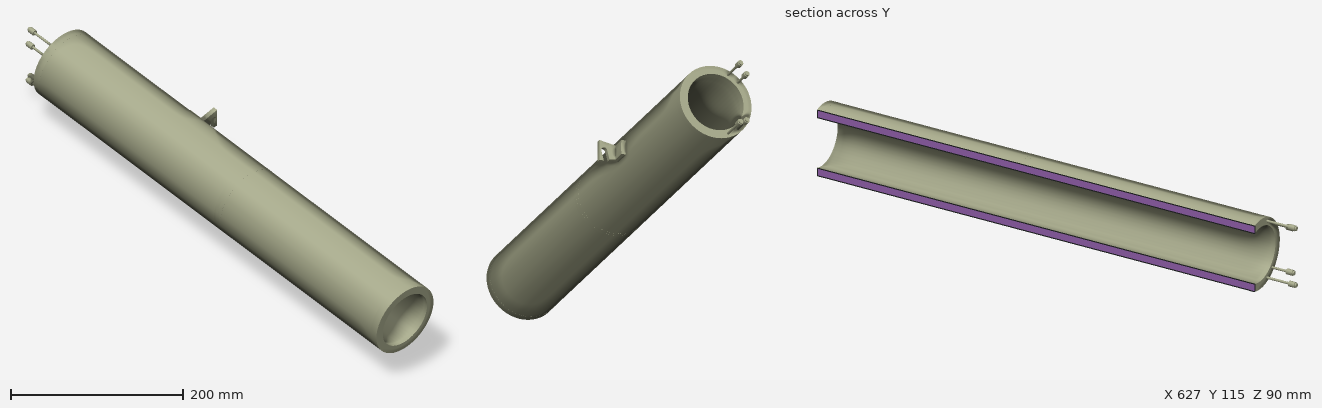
import cadquery as cq
import math

BORE_DIAMETER = 70.0
END_CAP_DIAMETER = 90.0
TUBE_DIAMETER = 89.8
COUPLING_DIAMETER = 89.9

MID_WALL_RADIUS = (BORE_DIAMETER + END_CAP_DIAMETER) / 4

TUBE_LENGTH = 587.0
END_CAP_LENGTH = 10.0
COUPLING_RING_LENGTH = 5.5
LONG_TUBE_LENGTH = 299.0
SHORT_TUBE_LENGTH = TUBE_LENGTH - LONG_TUBE_LENGTH - 2 * (END_CAP_LENGTH + COUPLING_RING_LENGTH)

ROD_DIAMETER = 3.0
HEAD_DIAMETER = 7.0
HEAD_TIP_DIAMETER = 5.0
HEAD_LENGTH = 10.0
HEAD_TIP_LENGTH = 2.0
LONG_PIN_REACH = 40.0
SHORT_PIN_REACH = 30.0
PIN_CIRCLE_RADIUS = MID_WALL_RADIUS
LONG_PIN_ANGLE = 67.3
SHORT_PIN_ANGLE = 46.5

FOOT_START_X = 165.5
FOOT_LENGTH = 18.0
FOOT_OUTER_RADIUS = 50.5
FOOT_HALF_WIDTH = 8.8
HOOK_THICKNESS = 6.0
HOOK_TIP_Y = 70.0
HOOK_TOP_Z = 12.5
HOOK_BOTTOM_Z = -12.5
TOP_EDGE_SLOPE = 11.0
SLOT_TILT = 15.0
SLOT_WIDTH = 7.5
SLOT_CROWN_Y = 65.0
SLOT_CROWN_Z = 4.0
HOOK_HEEL_Y = 55.5
HOOK_HEEL_Z = -9.5
PRONG_END_Y = 62.0
BRACKET_ROOT_Y = MID_WALL_RADIUS


def cylinder(start_x, length, diameter, y=0.0, z=0.0):
    """Solid cylinder along +X."""
    return cq.Workplane("YZ", origin=(start_x, y, z)).circle(diameter / 2).extrude(length)


def make_tube():
    """Row of coaxial sections with a common bore."""
    sections = [
        (END_CAP_LENGTH, END_CAP_DIAMETER),
        (LONG_TUBE_LENGTH, TUBE_DIAMETER),
        (COUPLING_RING_LENGTH, COUPLING_DIAMETER),
        (COUPLING_RING_LENGTH, END_CAP_DIAMETER),
        (SHORT_TUBE_LENGTH, TUBE_DIAMETER),
        (END_CAP_LENGTH, END_CAP_DIAMETER),
    ]
    tube = cq.Workplane("YZ")
    start_x = 0.0
    for length, diameter in sections:
        tube = tube.union(cylinder(start_x, length, diameter))
        start_x += length
    return tube.cut(cylinder(0.0, TUBE_LENGTH, BORE_DIAMETER))


def make_pin(reach, angle):
    """Rod, head and stepped tip in line, at an angle measured from -Y towards +Z."""
    y = -PIN_CIRCLE_RADIUS * math.cos(math.radians(angle))
    z = PIN_CIRCLE_RADIUS * math.sin(math.radians(angle))
    head_end_x = HEAD_LENGTH - reach
    tip = cylinder(-reach, HEAD_TIP_LENGTH, HEAD_TIP_DIAMETER, y, z)
    head = cylinder(HEAD_TIP_LENGTH - reach, HEAD_LENGTH - HEAD_TIP_LENGTH, HEAD_DIAMETER, y, z)
    rod = cylinder(head_end_x, -head_end_x, ROD_DIAMETER, y, z)
    return tip.union(head).union(rod)


def make_foot():
    """Saddle on the tube, its top concentric with the tube axis."""
    saddle = cylinder(FOOT_START_X, FOOT_LENGTH, 2 * FOOT_OUTER_RADIUS)
    blank = cq.Workplane("XY").box(
        FOOT_LENGTH,
        FOOT_OUTER_RADIUS - BRACKET_ROOT_Y,
        2 * FOOT_HALF_WIDTH,
        centered=(False, False, True),
    )
    return saddle.intersect(blank.translate((FOOT_START_X, BRACKET_ROOT_Y, 0)))


def make_hook():
    """Flat plate with a leaning, round-topped slot that is open at the bottom."""
    slope = math.tan(math.radians(TOP_EDGE_SLOPE))
    root_top_z = HOOK_TOP_Z - slope * (HOOK_TIP_Y - BRACKET_ROOT_Y)
    plate_x = FOOT_START_X + FOOT_LENGTH
    plate = (
        cq.Workplane("YZ", origin=(plate_x, 0, 0))
        .moveTo(HOOK_TIP_Y, HOOK_TOP_Z)
        .lineTo(BRACKET_ROOT_Y, root_top_z)
        .lineTo(BRACKET_ROOT_Y, -FOOT_HALF_WIDTH)
        .lineTo(FOOT_OUTER_RADIUS, -FOOT_HALF_WIDTH)
        .lineTo(HOOK_HEEL_Y, HOOK_HEEL_Z)
        .lineTo(PRONG_END_Y, HOOK_BOTTOM_Z)
        .lineTo(HOOK_TIP_Y, HOOK_BOTTOM_Z)
        .close()
        .extrude(HOOK_THICKNESS)
    )
    slot_radius = SLOT_WIDTH / 2
    slot_depth = 2 * (SLOT_CROWN_Z - HOOK_BOTTOM_Z)
    slot = (
        cq.Workplane("YZ")
        .moveTo(-slot_radius, -slot_depth)
        .lineTo(-slot_radius, -slot_radius)
        .threePointArc((0, 0), (slot_radius, -slot_radius))
        .lineTo(slot_radius, -slot_depth)
        .close()
        .extrude(HOOK_THICKNESS)
        .rotate((0, 0, 0), (1, 0, 0), -SLOT_TILT)
        .translate((plate_x, SLOT_CROWN_Y, SLOT_CROWN_Z))
    )
    return plate.cut(slot)


result = make_tube().union(make_foot()).union(make_hook())
for side in (1, -1):
    result = result.union(make_pin(LONG_PIN_REACH, side * LONG_PIN_ANGLE))
    result = result.union(make_pin(SHORT_PIN_REACH, side * SHORT_PIN_ANGLE))